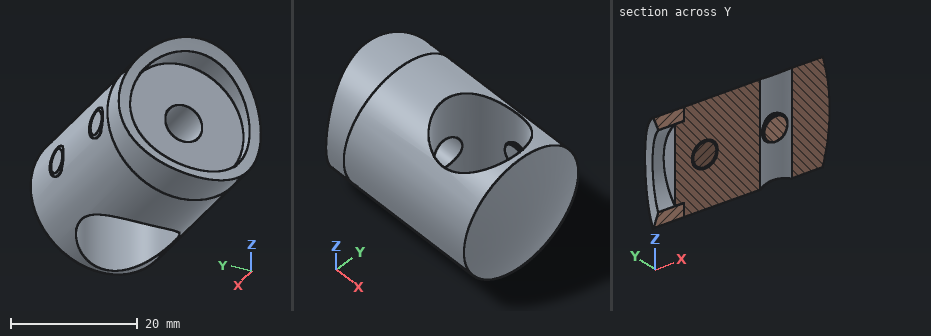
import cadquery as cq
import math

length = 37.1
outer_radius = 25.0 / 2
joint_x = 7.55
dome_height = 2.15
dome_start_x = length - dome_height

saddle_depth = 3.52
collar_inner_radius = 21.0 / 2
spigot_length = 1.85
spigot_end_x = joint_x - spigot_length

bore_radius = 8.15
bore_x = 25.63
axial_hole_radius = 6.5 / 2

screw_radius = 5.0 / 2
bevel_length = 0.35
tip_bevel_width = 0.2
head_bevel_width = 0.52
screw_tip_y = 7.53
screw_positions_x = [11.6, bore_x]


def arc_radius(half_chord, rise):
    """Radius of the arc with the given half chord and rise."""
    return (half_chord ** 2 + rise ** 2) / (2 * rise)


def cylinder_x(radius, start_x, end_x):
    return cq.Workplane("YZ", origin=(start_x, 0, 0)).circle(radius).extrude(end_x - start_x)


def cylinder_y(radius, x, start_y, end_y):
    return cq.Workplane("XZ", origin=(x, start_y, 0)).circle(radius).extrude(start_y - end_y)


def make_collar():
    """Ring whose free end is cut by a cylinder lying along Y."""
    ring = cylinder_x(outer_radius, 0, joint_x).cut(cylinder_x(collar_inner_radius, 0, joint_x))
    post_radius = arc_radius(outer_radius, saddle_depth)
    post = (
        cq.Workplane("XZ", origin=(saddle_depth - post_radius, 0, 0))
        .circle(post_radius)
        .extrude(outer_radius, both=True)
    )
    return ring.cut(post)


def make_domed_blank():
    """Solid of revolution with a spigot and a shallow spherical end."""
    dome_radius = arc_radius(outer_radius, dome_height)
    mid_angle = math.asin(outer_radius / dome_radius) / 2
    dome_mid = (
        length - dome_radius + dome_radius * math.cos(mid_angle),
        dome_radius * math.sin(mid_angle),
    )
    return (
        cq.Workplane("XY")
        .moveTo(spigot_end_x, 0)
        .lineTo(spigot_end_x, collar_inner_radius)
        .lineTo(joint_x, collar_inner_radius)
        .lineTo(joint_x, outer_radius)
        .lineTo(dome_start_x, outer_radius)
        .threePointArc(dome_mid, (length, 0))
        .close()
        .revolve(360, (0, 0, 0), (1, 0, 0))
    )


def make_screw(x):
    """Set screw bevelled at both ends, its flat outer end level with the outer radius."""
    return (
        cylinder_y(screw_radius, x, screw_tip_y, outer_radius)
        .faces("<Y")
        .chamfer(bevel_length, tip_bevel_width)
        .faces(">Y")
        .chamfer(bevel_length, head_bevel_width)
    )


def make_holder():
    """Domed body with a cross bore, an axial hole and a straight hole for each screw."""
    body = make_domed_blank()
    cross_bore = (
        cq.Workplane("XY", origin=(bore_x, 0, 0))
        .circle(bore_radius)
        .extrude(outer_radius, both=True)
    )
    body = body.cut(cross_bore).cut(cylinder_x(axial_hole_radius, spigot_end_x, bore_x))
    for x in screw_positions_x:
        body = body.cut(cylinder_y(screw_radius, x, screw_tip_y, outer_radius))
    return body


collar = make_collar()
set_screws = [make_screw(x) for x in screw_positions_x]
holder = make_holder()

result = cq.Compound.makeCompound([
    collar.val(),
    holder.val(),
    *[screw.val() for screw in set_screws],
])